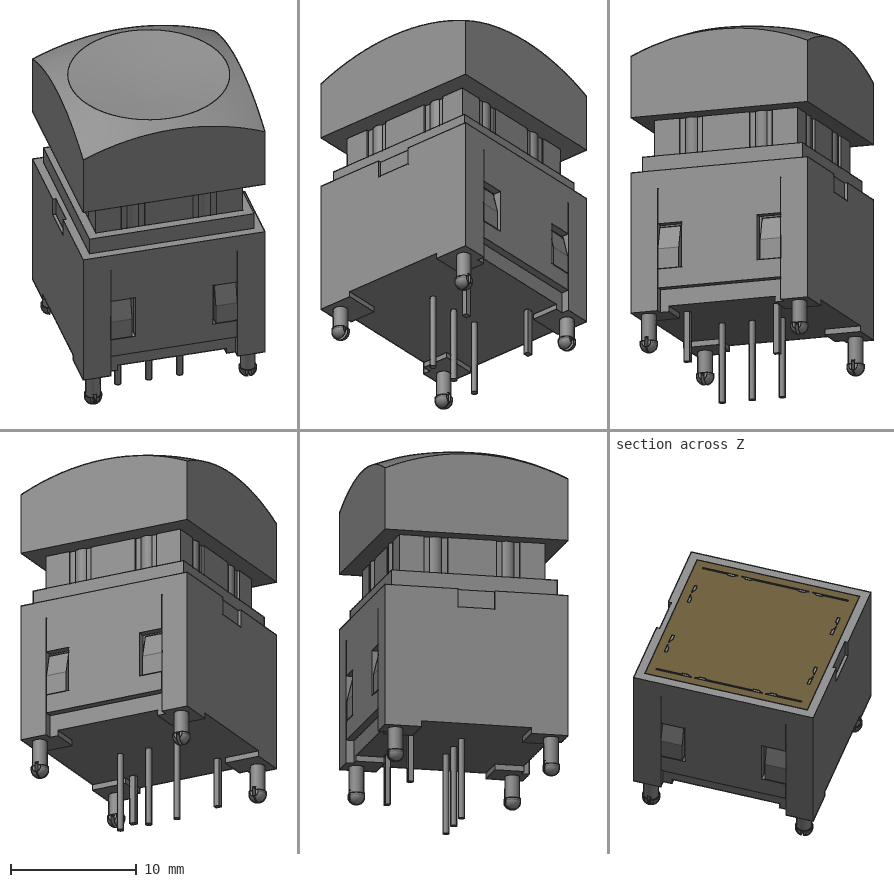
import cadquery as cq
import math


WIDTH = 15.0
HALF_WIDTH = WIDTH / 2
TOTAL_HEIGHT = 29.0
PIN_BOTTOM = -6.0
TOP_Z = TOTAL_HEIGHT + PIN_BOTTOM

HOUSING_TOP = 11.48
FLANGE_WIDTH = 13.57
FLANGE_TOP = 12.88
STANDOFF = 0.45
FOOT_INNER = 4.5

NOTCH_WIDTH = 3.05
NOTCH_HEIGHT = 1.48
NOTCH_DEPTH = 0.25

PANEL_HALF_WIDTH = 5.22
PANEL_TOP = 10.0
PANEL_BOTTOM = 1.85
SLIT_WIDTH = 0.03
RECESS_DEPTH = 0.65

WINDOW_INNER = 3.2
WINDOW_BOTTOM = 3.42
WINDOW_TOP = 7.1
CATCH_INNER = 3.45
CATCH_TOP = 6.93
CATCH_EDGE = 5.08
CATCH_FACE_DEPTH = 0.05
CATCH_TOP_DEPTH = 0.52

NECK_SIZE_X = 11.95
NECK_SIZE_Y = 12.12
POCKET_OFFSET = 2.95
POCKET_WIDTH = 1.95
POCKET_FLOOR = 5.85
RIB_RADIUS = 0.7
RIB_CREST = NECK_SIZE_Y / 2
WELL_SIZE = 2 * RIB_CREST
WELL_FLOOR = HOUSING_TOP

CAP_BOTTOM = 16.0
DISH_RADIUS = 6.45
DISH_DEPTH = 0.44
DOME_SPHERE_RADIUS = 20.0
DISH_SPHERE_RADIUS = (DISH_RADIUS**2 + DISH_DEPTH**2) / (2 * DISH_DEPTH)

POST_OFFSET = 6.38
POST_DIAMETER = 1.2
BULB_RADIUS = 0.7
BULB_BAND = 0.17
HIGH_BULB_TOP = -1.83
LOW_BULB_TOP = -2.2
SLOT_WIDTH = 0.25
SLOT_TOP = -1.9
SLOT_BOTTOM = -2.7
SPLIT_WIDTH = 0.1

LONG_PIN_DIAMETER = 0.5
LONG_PIN_PITCH = 2.55
SHORT_PIN_BOTTOM = -3.6
SHORT_PIN_X = -4.5
SHORT_PIN_Y = 3.8
SHORT_PIN_SIZE_X = 0.4
SHORT_PIN_SIZE_Y = 0.5

OVERLAP = 0.15


def box(x_range, y_range, z_range):
    """Axis-aligned box from (low, high) pairs."""
    size = [high - low for low, high in (x_range, y_range, z_range)]
    corner = (x_range[0], y_range[0], z_range[0])
    return cq.Workplane("XY").box(*size, centered=False).translate(corner)


def centred_box(size_x, size_y, bottom, top):
    """Box centred on the Z axis between two heights."""
    return box((-size_x / 2, size_x / 2), (-size_y / 2, size_y / 2), (bottom, top))


def x_profile(points, y_range):
    """Prism of an XZ outline between two Y positions."""
    low, high = y_range
    return cq.Workplane("XZ", origin=(0, high, 0)).polyline(points).close().extrude(high - low)


def both_x_sides(shape):
    """The shape together with its mirror image on the +X side."""
    return shape.union(shape.mirror("YZ"))


def latch_panel_cut():
    """Slits beside the latch panel, the recess below it and its windows, on -X."""
    panel_range = (-PANEL_HALF_WIDTH, PANEL_HALF_WIDTH)
    recess_x = (-HALF_WIDTH, -HALF_WIDTH + RECESS_DEPTH)
    skirt = box(recess_x, panel_range, (0, PANEL_BOTTOM))
    slit_frame = box(recess_x, panel_range, (PANEL_BOTTOM, PANEL_TOP))
    panel_half_width = PANEL_HALF_WIDTH - SLIT_WIDTH
    panel = box(recess_x, (-panel_half_width, panel_half_width), (PANEL_BOTTOM, PANEL_TOP))
    cut = skirt.union(slit_frame.cut(panel))
    for y_range in ((WINDOW_INNER, PANEL_HALF_WIDTH), (-PANEL_HALF_WIDTH, -WINDOW_INNER)):
        cut = cut.union(box(recess_x, y_range, (WINDOW_BOTTOM, WINDOW_TOP)))
    return cut


def catches():
    """Wedge-shaped catches inside the two windows on -X."""
    face_x = -HALF_WIDTH + CATCH_FACE_DEPTH
    ramp_top_x = -HALF_WIDTH + CATCH_TOP_DEPTH
    root_x = -HALF_WIDTH + RECESS_DEPTH + OVERLAP
    outline = [
        (root_x, WINDOW_BOTTOM),
        (face_x, WINDOW_BOTTOM),
        (face_x, CATCH_EDGE),
        (ramp_top_x, CATCH_TOP),
        (root_x, CATCH_TOP),
    ]
    catch = x_profile(outline, (CATCH_INNER, PANEL_HALF_WIDTH))
    return catch.union(catch.mirror("XZ"))


def housing():
    """Housing with feet, flange well, notches, latch panels and catches."""
    body = centred_box(WIDTH, WIDTH, 0, HOUSING_TOP)
    body = body.union(centred_box(FLANGE_WIDTH, FLANGE_WIDTH, HOUSING_TOP, FLANGE_TOP))
    body = body.cut(centred_box(WELL_SIZE, WELL_SIZE, WELL_FLOOR, FLANGE_TOP))

    body = body.cut(centred_box(WIDTH, 2 * FOOT_INNER, 0, STANDOFF))
    body = body.cut(centred_box(2 * FOOT_INNER, WIDTH, 0, STANDOFF))

    notch_x = (-NOTCH_WIDTH / 2, NOTCH_WIDTH / 2)
    notch_y = (-HALF_WIDTH, -HALF_WIDTH + NOTCH_DEPTH)
    notch = box(notch_x, notch_y, (HOUSING_TOP - NOTCH_HEIGHT, HOUSING_TOP))
    body = body.cut(notch).cut(notch.mirror("XZ"))

    body = body.cut(both_x_sides(latch_panel_cut()))
    return body.union(both_x_sides(catches()))


def neck():
    """Plunger neck; every side has two pockets with a rounded rib on the floor."""
    body = centred_box(NECK_SIZE_X, NECK_SIZE_Y, WELL_FLOOR, CAP_BOTTOM)
    for quarter_turn in range(4):
        for offset in (-POCKET_OFFSET, POCKET_OFFSET):
            pocket = box(
                (offset - POCKET_WIDTH / 2, offset + POCKET_WIDTH / 2),
                (-RIB_CREST, -POCKET_FLOOR),
                (WELL_FLOOR, CAP_BOTTOM),
            )
            rib = (
                cq.Workplane("XY", origin=(offset, -RIB_CREST + RIB_RADIUS, WELL_FLOOR))
                .circle(RIB_RADIUS)
                .extrude(CAP_BOTTOM - WELL_FLOOR)
            )
            angle = 90 * quarter_turn
            body = body.cut(pocket.rotate((0, 0, 0), (0, 0, 1), angle))
            body = body.union(rib.rotate((0, 0, 0), (0, 0, 1), angle))
    return body


def cap():
    """Square cap under a spherical dome with a spherical dish in its middle."""
    dome_centre = TOP_Z - math.sqrt(DOME_SPHERE_RADIUS**2 - DISH_RADIUS**2)
    dish_centre = TOP_Z - DISH_DEPTH + DISH_SPHERE_RADIUS
    dome = cq.Workplane("XY").sphere(DOME_SPHERE_RADIUS).translate((0, 0, dome_centre))
    dish = cq.Workplane("XY").sphere(DISH_SPHERE_RADIUS).translate((0, 0, dish_centre))
    dome_peak = dome_centre + DOME_SPHERE_RADIUS
    return centred_box(WIDTH, WIDTH, CAP_BOTTOM, dome_peak).intersect(dome).cut(dish)


def post(x, y, bulb_top):
    """Post with a flat-sided round-ended bulb, slotted along X and split down to its tip."""
    sphere_z = bulb_top - BULB_BAND
    shank_base = cq.Workplane("XY", origin=(0, 0, sphere_z))
    shank = shank_base.circle(POST_DIAMETER / 2).extrude(STANDOFF - sphere_z)
    band = cq.Workplane("XY", origin=(0, 0, sphere_z)).circle(BULB_RADIUS).extrude(BULB_BAND)
    bulb = band.union(cq.Workplane("XY").sphere(BULB_RADIUS).translate((0, 0, sphere_z)))
    bulb_bottom = sphere_z - BULB_RADIUS
    bulb = bulb.intersect(centred_box(POST_DIAMETER, 2 * BULB_RADIUS, bulb_bottom, bulb_top))
    slot = centred_box(2 * BULB_RADIUS, SLOT_WIDTH, SLOT_BOTTOM, SLOT_TOP)
    split = centred_box(2 * BULB_RADIUS, SPLIT_WIDTH, bulb_bottom, SLOT_TOP)
    return shank.union(bulb).cut(slot).cut(split).translate((x, y, 0))


def posts():
    """Four posts; the bulbs sit higher on one diagonal than on the other."""
    group = cq.Workplane("XY")
    for side_x in (-1, 1):
        for side_y in (-1, 1):
            bulb_top = HIGH_BULB_TOP if side_x == side_y else LOW_BULB_TOP
            group = group.add(post(side_x * POST_OFFSET, side_y * POST_OFFSET, bulb_top))
    return group.combine()


def pins():
    """Three round pins in the X = 0 plane and two short flat pins towards -X."""
    root_z = STANDOFF + OVERLAP
    long_pins = (
        cq.Workplane("XY", origin=(0, 0, PIN_BOTTOM))
        .pushPoints([(0, -LONG_PIN_PITCH), (0, 0), (0, LONG_PIN_PITCH)])
        .circle(LONG_PIN_DIAMETER / 2)
        .extrude(root_z - PIN_BOTTOM)
    )
    short_pins = (
        cq.Workplane("XY", origin=(0, 0, SHORT_PIN_BOTTOM))
        .pushPoints([(SHORT_PIN_X, -SHORT_PIN_Y), (SHORT_PIN_X, SHORT_PIN_Y)])
        .rect(SHORT_PIN_SIZE_X, SHORT_PIN_SIZE_Y)
        .extrude(root_z - SHORT_PIN_BOTTOM)
    )
    return long_pins.union(short_pins)


result = housing().union(neck()).union(cap()).union(posts()).union(pins())